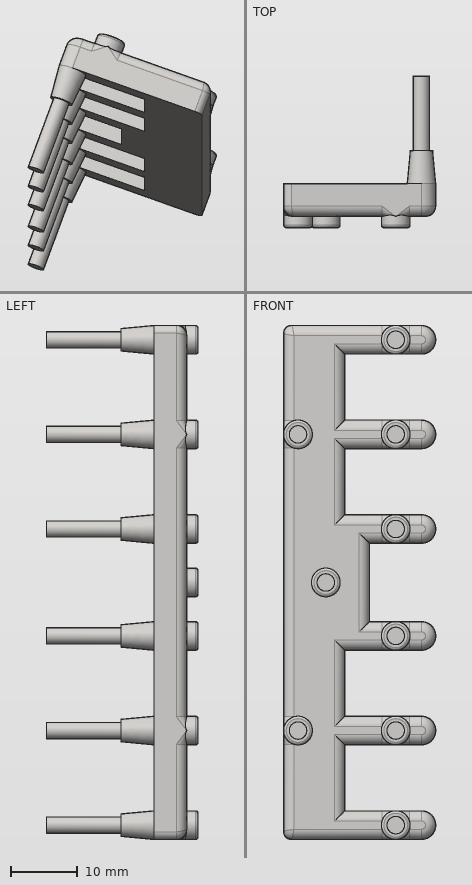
import cadquery as cq
import math

LENGTH = 77.0
PLATE_THICKNESS = 4.9
SPINE_WIDTH = 9.2
CENTRE_BLOCK_WIDTH = 12.85
CORNER_RADIUS = 1.15
FRONT_FILLET = 1.55

FINGER_WIDTH = 4.3
FINGER_PITCH = 14.2
REACH = 22.8
TIP_RADIUS = FINGER_WIDTH / 2
TIP_CENTRE_X = REACH - TIP_RADIUS
END_FINGER_Z = LENGTH / 2 - TIP_RADIUS
INNER_FINGER_Z = END_FINGER_Z - 2 * FINGER_PITCH
FINGER_ZS = [side * (END_FINGER_Z - step * FINGER_PITCH) for side in (1, -1) for step in range(3)]

BOSS_RADIUS = FINGER_WIDTH / 2
BOSS_HEIGHT = 1.7
BOSS_ROUND = 0.4
BOSS_HOLE_RADIUS = 1.3
BOSS_HOLE_DEPTH = 2.5
FINGER_BOSS_X = 16.8
EDGE_BOSS_X = BOSS_RADIUS
EDGE_BOSS_Z = END_FINGER_Z - FINGER_PITCH
CENTRE_BOSS_X = 6.3

CONE_LENGTH = 4.9
CONE_END_RADIUS = 1.7
PIN_LENGTH = 11.2
PIN_RADIUS = 1.2

FINGER_BOSSES = [(FINGER_BOSS_X, z) for z in FINGER_ZS]
EDGE_BOSSES = [(EDGE_BOSS_X, z) for z in (EDGE_BOSS_Z, -EDGE_BOSS_Z)]
BOSSES = FINGER_BOSSES + EDGE_BOSSES + [(CENTRE_BOSS_X, 0)]


def plate_box(width, height):
    return cq.Workplane("XY").box(width, PLATE_THICKNESS, height, centered=(False, False, True))


def along_y(radius, x, y, z, length):
    return cq.Workplane("XZ", origin=(x, y, z)).circle(radius).extrude(-length)


def comb_plate():
    plate = plate_box(SPINE_WIDTH, LENGTH).edges("|Y and <X").fillet(CORNER_RADIUS)
    plate = plate.union(plate_box(CENTRE_BLOCK_WIDTH, 2 * INNER_FINGER_Z))
    finger = plate_box(TIP_CENTRE_X - SPINE_WIDTH / 2, FINGER_WIDTH).translate((SPINE_WIDTH / 2, 0, 0))
    finger = finger.union(along_y(TIP_RADIUS, TIP_CENTRE_X, 0, 0, PLATE_THICKNESS))
    for z in FINGER_ZS:
        plate = plate.union(finger.translate((0, 0, z)))
    return plate.clean().faces("<Y").edges().fillet(FRONT_FILLET)


def boss(x, z):
    body = along_y(BOSS_RADIUS, x, -BOSS_HEIGHT, z, BOSS_HEIGHT + FRONT_FILLET)
    return body.faces("<Y").edges().fillet(BOSS_ROUND)


def boss_hole(x, z):
    return along_y(BOSS_HOLE_RADIUS, x, -BOSS_HEIGHT, z, BOSS_HOLE_DEPTH)


def stepped_pin(z):
    cone_end_y = PLATE_THICKNESS + CONE_LENGTH
    base = cq.Vector(TIP_CENTRE_X, PLATE_THICKNESS, z)
    cone = cq.Solid.makeCone(TIP_RADIUS, CONE_END_RADIUS, CONE_LENGTH, base, cq.Vector(0, 1, 0))
    return along_y(PIN_RADIUS, TIP_CENTRE_X, cone_end_y, z, PIN_LENGTH).union(cq.Workplane(cone))


def runout_patch(edge_distance):
    """Square the filleted edge beside a boss and run the fillet out to a point at its middle.

    The boss axis is Y through the origin and the edge lies at Z = edge_distance.
    """
    flat = edge_distance - FRONT_FILLET
    half_span = math.sqrt(BOSS_RADIUS**2 - flat**2)
    block = cq.Workplane("XY").box(2 * half_span, FRONT_FILLET, edge_distance, centered=(True, False, False))
    arc_mid = FRONT_FILLET * (1 - math.sqrt(0.5))
    for x in (-half_span, half_span):
        spandrel = (
            cq.Workplane("YZ", origin=(x, 0, 0))
            .moveTo(0, flat)
            .threePointArc((arc_mid, edge_distance - arc_mid), (FRONT_FILLET, edge_distance))
            .lineTo(0, edge_distance)
            .close()
        )
        point = cq.Vertex.makeVertex(0, 0, edge_distance)
        runout = cq.occ_impl.shapes.loft(spandrel.val(), point, cap=True, ruled=True)
        block = block.cut(cq.Workplane(runout))
    return block


def place_patch(patch, x, z, turn):
    """Turn the patch about Y so that it meets the chosen edge, then move it to its boss."""
    return patch.rotate((0, 0, 0), (0, 1, 0), turn).translate((x, 0, z))


part = comb_plate()
finger_patch = runout_patch(FINGER_WIDTH / 2)
edge_patch = runout_patch(EDGE_BOSS_X)
for x, z in FINGER_BOSSES:
    for turn in (0, 180):
        part = part.union(place_patch(finger_patch, x, z, turn))
for x, z in EDGE_BOSSES:
    part = part.union(place_patch(edge_patch, x, z, -90))
for x, z in BOSSES:
    part = part.union(boss(x, z))
for x, z in BOSSES:
    part = part.cut(boss_hole(x, z))
for z in FINGER_ZS:
    part = part.union(stepped_pin(z))

result = part.solids()